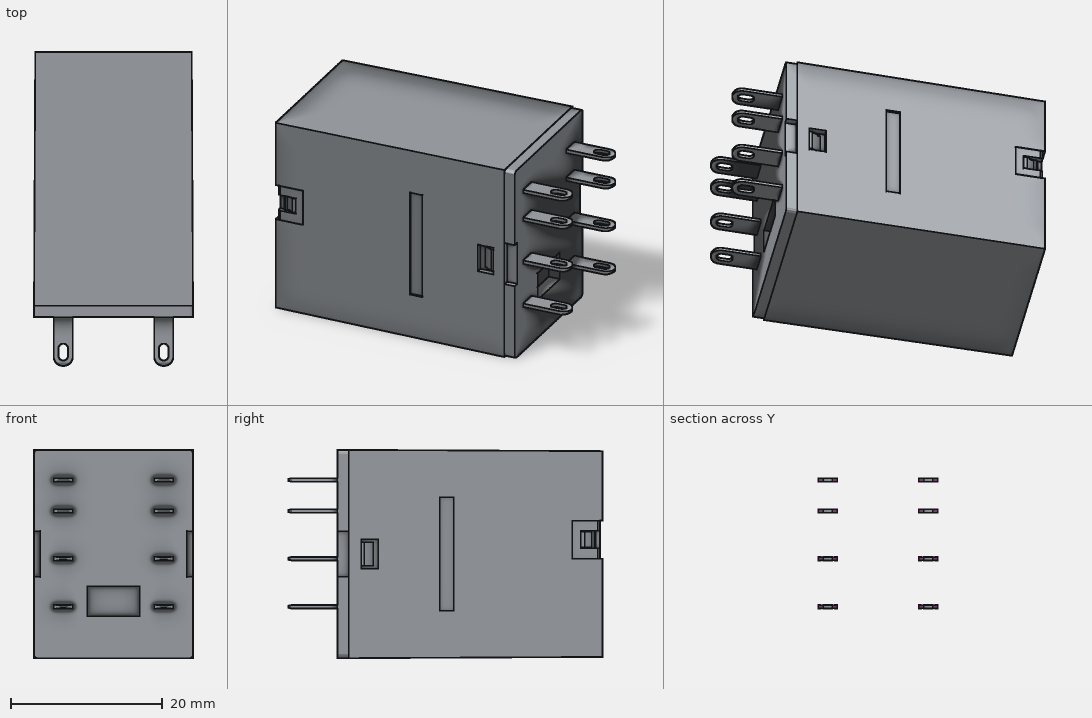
import cadquery as cq


WIDTH = 21.0
HEIGHT = 27.5
TOTAL_LENGTH = 41.4
TERMINAL_LENGTH = 6.45
BACK_Y = TOTAL_LENGTH - TERMINAL_LENGTH
FLANGE_THICKNESS = 1.5
FLANGE_CORNER_RADIUS = 0.55
COVER_WALL = 0.83
COVER_DRAFT = 0.15
COVER_LENGTH = BACK_Y - FLANGE_THICKNESS
HALF_WIDTH = WIDTH / 2
PLUG_END_Y = 6.2

WINDOW_FRONT_Y = 3.1
WINDOW_BACK_Y = 5.4
WINDOW_HEIGHT = 3.9
LATCH_FLAT_BACK_Y = 3.5
LATCH_BACK_Y = 4.7
LATCH_HEIGHT = 3.05
LATCH_RISE = 0.62

STRIPE_FRONT_Y = 13.5
STRIPE_BACK_Y = 15.35
STRIPE_HEIGHT = 15.0
STRIPE_DEPTH = 0.37

NOTCH_HEIGHT = 6.05
POCKET_WIDTH = 6.9
POCKET_HEIGHT = 3.95
POCKET_DEPTH = 1.65
POCKET_Z = -6.2

TERMINAL_X = 6.62
TERMINAL_ROWS_Z = (9.75, 5.67, -0.62, -6.95)
TERMINAL_WIDTH = 2.55
TERMINAL_THICKNESS = 0.5
EYE_WIDTH = 1.25
EYE_FRONT_Y = -5.7
EYE_BACK_Y = -3.5
TIP_BEVEL_LENGTH = 0.45
TIP_BEVEL_DEPTH = 0.105

CLIP_SETBACK = 0.062
CLIP_HALF_WIDTH = HALF_WIDTH - COVER_DRAFT - CLIP_SETBACK
CLIP_Z = 1.9
CLIP_HEIGHT = 5.0
CLIP_FRONT_Y = 30.95
CLIP_BACK_Y = 34.6
CLIP_CHAMFER_DEPTH = 0.145
CLIP_CHAMFER_LENGTH = 0.3
SLOT_HEIGHT = 2.28
SLOT_FRONT_Y = 32.05
SLOT_ENTRY_DEPTH = 0.7
SLOT_DEPTH = 0.5
SLOT_STEP_BACK_Y = 34.07
SLOT_STEP_FRONT_Y = 33.82
NUB_HEIGHT = 2.03
NUB_BACK_Y = 33.55
NUB_FLAT_BACK_Y = 32.6
NUB_RISE = 0.4


def box(x_size, y_front, y_back, z_size, x=0.0, z=0.0):
    """A block centred on x and z, reaching from y_front to y_back."""
    return cq.Workplane("XY").box(x_size, y_back - y_front, z_size).translate((x, (y_front + y_back) / 2, z))


def plate(points, thickness, z=0.0):
    """A closed outline of (x, y) points, given a thickness centred on z."""
    return cq.Workplane("XY").polyline(points).close().extrude(thickness / 2, both=True).translate((0, 0, z))


def both_sides(feature):
    """A feature of the -X side together with its mirror image on the +X side."""
    return feature.add(feature.mirror("YZ")).combine()


def window_openings():
    opening = box(COVER_WALL, WINDOW_FRONT_Y, WINDOW_BACK_Y, WINDOW_HEIGHT, x=-HALF_WIDTH + COVER_WALL / 2)
    return both_sides(opening)


def stripe_recesses():
    return both_sides(box(2 * STRIPE_DEPTH, STRIPE_FRONT_Y, STRIPE_BACK_Y, STRIPE_HEIGHT, x=-HALF_WIDTH))


def plug(y_front):
    return box(WIDTH - 2 * COVER_WALL, y_front, PLUG_END_Y, HEIGHT - 2 * COVER_WALL)


def make_cover():
    shell = (
        cq.Workplane("XZ", origin=(0, FLANGE_THICKNESS, 0))
        .rect(WIDTH, HEIGHT)
        .workplane(offset=-COVER_LENGTH)
        .rect(WIDTH - 2 * COVER_DRAFT, HEIGHT - 2 * COVER_DRAFT)
        .loft(ruled=True)
    )
    clip_groove = box(WIDTH, CLIP_FRONT_Y, BACK_Y, CLIP_HEIGHT, z=CLIP_Z)
    return shell.cut(plug(FLANGE_THICKNESS)).cut(window_openings()).cut(stripe_recesses()).cut(clip_groove)


def latch_noses():
    floor_x = -HALF_WIDTH + COVER_WALL
    outline = [
        (floor_x, WINDOW_FRONT_Y),
        (floor_x - LATCH_RISE, WINDOW_FRONT_Y),
        (floor_x - LATCH_RISE, LATCH_FLAT_BACK_Y),
        (floor_x, LATCH_BACK_Y),
    ]
    return both_sides(plate(outline, LATCH_HEIGHT))


def make_terminal():
    """One flat terminal at X = 0, Z = 0 with a round bevelled tip and a long eye."""
    radius = TERMINAL_WIDTH / 2
    blade = (
        cq.Workplane("XY")
        .moveTo(-radius, 0)
        .lineTo(-radius, radius - TERMINAL_LENGTH)
        .threePointArc((0, -TERMINAL_LENGTH), (radius, radius - TERMINAL_LENGTH))
        .lineTo(radius, 0)
        .close()
        .extrude(TERMINAL_THICKNESS / 2, both=True)
    )
    eye = (
        cq.Workplane("XY")
        .center(0, (EYE_FRONT_Y + EYE_BACK_Y) / 2)
        .slot2D(EYE_BACK_Y - EYE_FRONT_Y, EYE_WIDTH, 90)
        .extrude(TERMINAL_THICKNESS, both=True)
    )
    bevel = (
        cq.Workplane("YZ")
        .polyline([
            (-TERMINAL_LENGTH, TERMINAL_THICKNESS / 2),
            (-TERMINAL_LENGTH + TIP_BEVEL_LENGTH, TERMINAL_THICKNESS / 2),
            (-TERMINAL_LENGTH, TERMINAL_THICKNESS / 2 - TIP_BEVEL_DEPTH),
        ])
        .close()
        .extrude(radius, both=True)
    )
    return blade.cut(eye).cut(bevel).cut(bevel.mirror("XY"))


def make_base():
    flange = box(WIDTH, 0, FLANGE_THICKNESS, HEIGHT).edges("|Y").fillet(FLANGE_CORNER_RADIUS)
    notch = box(COVER_WALL, 0, FLANGE_THICKNESS, NOTCH_HEIGHT, x=-HALF_WIDTH + COVER_WALL / 2)
    pocket = box(POCKET_WIDTH, 0, POCKET_DEPTH, POCKET_HEIGHT, z=POCKET_Z)
    body = flange.union(plug(0)).cut(both_sides(notch)).cut(pocket).union(latch_noses())
    terminal = make_terminal()
    for x in (-TERMINAL_X, TERMINAL_X):
        for z in TERMINAL_ROWS_Z:
            body = body.union(terminal.translate((x, 0, z)))
    return body


def clip_slots():
    """The open slots in the clip ends, each with a ramped nub standing on its floor."""
    entry_x = -CLIP_HALF_WIDTH + SLOT_ENTRY_DEPTH
    floor_x = -CLIP_HALF_WIDTH + SLOT_DEPTH
    slot = plate(
        [
            (-HALF_WIDTH, CLIP_BACK_Y),
            (entry_x, CLIP_BACK_Y),
            (entry_x, SLOT_STEP_BACK_Y),
            (floor_x, SLOT_STEP_FRONT_Y),
            (floor_x, SLOT_FRONT_Y),
            (-HALF_WIDTH, SLOT_FRONT_Y),
        ],
        SLOT_HEIGHT,
        CLIP_Z,
    )
    nub = plate(
        [
            (floor_x, SLOT_FRONT_Y),
            (floor_x - NUB_RISE, SLOT_FRONT_Y),
            (floor_x - NUB_RISE, NUB_FLAT_BACK_Y),
            (floor_x, NUB_BACK_Y),
        ],
        NUB_HEIGHT,
        CLIP_Z,
    )
    return both_sides(slot.cut(nub))


def make_clip():
    outer_x = CLIP_HALF_WIDTH
    chamfered_x = outer_x - CLIP_CHAMFER_DEPTH
    chamfer_y = CLIP_BACK_Y - CLIP_CHAMFER_LENGTH
    bar = plate(
        [
            (-outer_x, CLIP_FRONT_Y),
            (-outer_x, chamfer_y),
            (-chamfered_x, CLIP_BACK_Y),
            (chamfered_x, CLIP_BACK_Y),
            (outer_x, chamfer_y),
            (outer_x, CLIP_FRONT_Y),
        ],
        CLIP_HEIGHT,
        CLIP_Z,
    )
    return bar.cut(clip_slots())


cover = make_cover()
base = make_base()
clip = make_clip()

result = cq.Compound.makeCompound([cover.val(), base.val(), clip.val()])